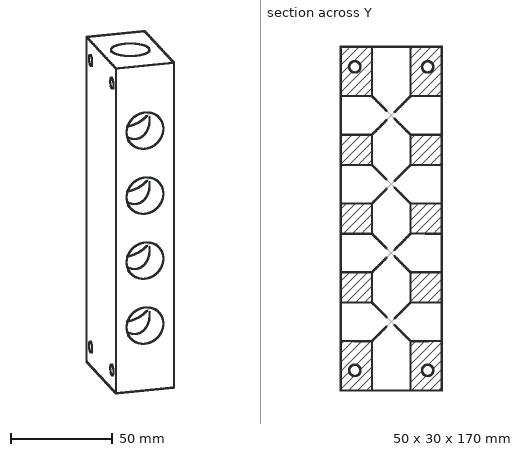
import cadquery as cq

width = 50.0
depth = 30.0
height = 170.0

bore_diameter = 19.0
port_count = 4
port_pitch = height / (port_count + 1)

mount_diameter = 5.5
mount_spacing_x = 36.0
mount_spacing_z = 150.0


def make_block():
    """Rectangular manifold body centred on the origin."""
    return cq.Workplane("XY").box(width, depth, height)


def cut_main_bore(body):
    """Bore running the full height of the block."""
    return body.cut(cq.Workplane("XY").circle(bore_diameter / 2).extrude(height / 2, both=True))


def cut_ports(body):
    """Row of equally spaced ports through the full width."""
    ports = (
        cq.Workplane("YZ")
        .rarray(1, port_pitch, 1, port_count)
        .circle(bore_diameter / 2)
        .extrude(width / 2, both=True)
    )
    return body.cut(ports)


def cut_mounting_holes(body):
    """Four corner holes through the full depth."""
    holes = (
        cq.Workplane("XZ")
        .rarray(mount_spacing_x, mount_spacing_z, 2, 2)
        .circle(mount_diameter / 2)
        .extrude(depth / 2, both=True)
    )
    return body.cut(holes)


body = make_block()
body = cut_main_bore(body)
body = cut_ports(body)
result = cut_mounting_holes(body)